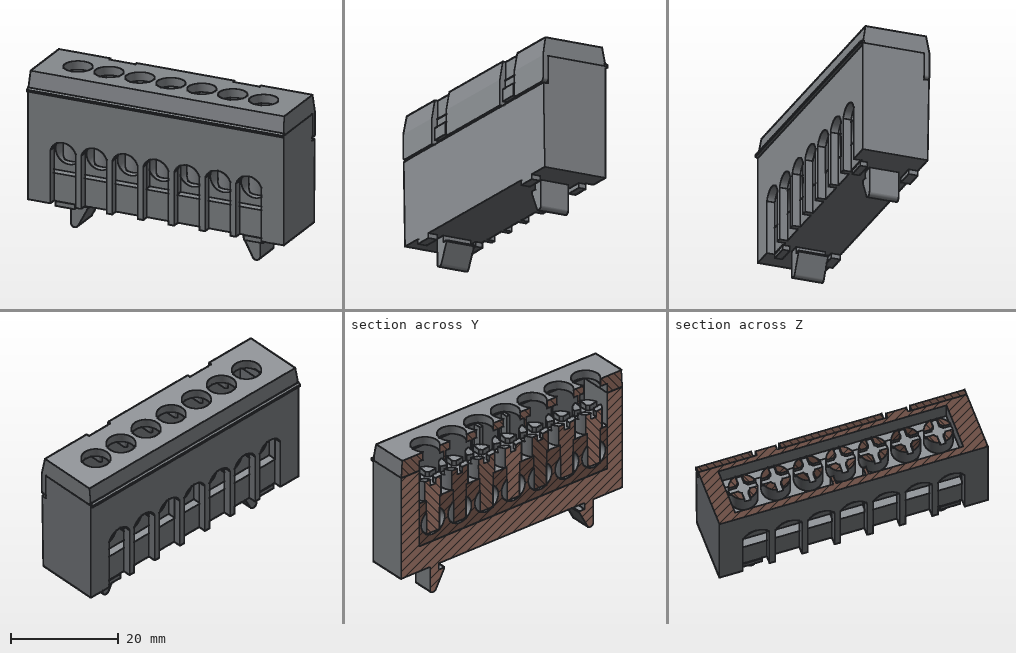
import cadquery as cq

LENGTH = 52.9
CELLS = 7
PITCH = 6.4

BODY_HEIGHT = 21.95
BODY_DEPTH_BOTTOM = 13.0
BODY_DEPTH_TOP = 13.3
FRONT_WALL = 1.6
BACK_WALL = 1.15
SHELF_Z = 5.55

WIRE_BORE_D = 5.5
WIRE_AXIS_Z = 9.85
SLOT_WIDTH = 5.25

LID_DEPTH = 13.4
LID_HEIGHT = 3.65
LID_TOP = BODY_HEIGHT + LID_HEIGHT
LID_TOP_INSET_X = 0.2
LID_TOP_INSET_Y = 0.65
LID_ROOF = 1.75
FLAP_THICKNESS = 1.1
FLAP_LENGTH = 5.1
FLAP_CORNER = 0.65
FLAP_GAP = 0.3
NOTCH_WIDTH = 5.45
NOTCH_DEPTH = 1.25
NOTCH_X = 12.85
ACCESS_D = 5.5
ACCESS_Y = 6.4

RIB_THICKNESS = 0.75
RIB_NOSE_Y = 8.2
PARTITION = 0.7

LIP_REACH = 0.5
LIP_FLAT_ABOVE = 0.2
LIP_FLAT_BELOW = 0.15
LIP_ROOT_ABOVE = 0.5
LIP_ROOT_BELOW = 0.35
LIP_EMBED = 0.25

CATCH_WIDTH = 4.05
CATCH_BOTTOM = 17.45
CATCH_BACK_Z = 19.85
CATCH_ROOT_Z = 20.2
CATCH_Y = 13.15

BAR_OFFSET_X = -0.35
BAR_HALF_DEPTH = 3.1
BAR_BORE_Z = 9.8
BAR_TOP = 14.8

SHANK_D = 4.85
SHANK_END_Z = 7.4
HEAD_D = 5.5
HEAD_TOP = 19.05
DISH_DEPTH = 0.3
CROSS_WIDTH = 1.15
CROSS_CENTRE_D = 2.55
CROSS_DEPTH = 1.3

PAD_HEIGHT = 0.95
PAD_OUTER_X = 21.5
PAD_INNER_X = 17.5
FRONT_PAD_Y = (1.45, 2.9)
BACK_PAD_Y = (11.15, BODY_DEPTH_BOTTOM)

LEG_Y = (4.05, 9.95)
LEG_OUTER_X = 19.55
LEG_SHOULDER_X = 17.35
LEG_TIP_X = 16.1
LEG_SHOULDER_Z = -1.25
LEG_TIP_Z = -1.55
LEG_TOE_X = 18.05
LEG_TOE_Z = -5.25
LEG_ROUND_Z = -5.0
LEG_BOTTOM = -5.7

FULL_X = (-LENGTH / 2, LENGTH / 2)
CELL_X = [(i - (CELLS - 1) / 2) * PITCH for i in range(CELLS)]
SCREW_POINTS = [(x + BAR_OFFSET_X, ACCESS_Y) for x in CELL_X]
CAVITY_X = (SCREW_POINTS[0][0] - PITCH / 2, SCREW_POINTS[-1][0] + PITCH / 2)
BAR_Y = (ACCESS_Y - BAR_HALF_DEPTH, ACCESS_Y + BAR_HALF_DEPTH)
FLAP_Y = LID_DEPTH - FLAP_THICKNESS
FLAP_BOTTOM = BODY_HEIGHT - FLAP_LENGTH
CAVITY_BACK_Y = FLAP_Y - BACK_WALL


def block(x, y, z):
    """Box given by its (low, high) limits along each axis."""
    size = [high - low for low, high in (x, y, z)]
    return cq.Workplane("XY").box(*size, centered=False).translate((x[0], y[0], z[0]))


def centred(x, width):
    """Limits of a span of the given width about x."""
    return (x - width / 2, x + width / 2)


def side_profile(points, x):
    """Closed outline of (Y, Z) points extruded between two X limits."""
    return cq.Workplane("YZ", origin=(x[0], 0, 0)).polyline(points).close().extrude(x[1] - x[0])


def lip_half(flat, root):
    """Upper (positive sizes) or lower (negative sizes) half of the lip on the parting line."""
    return side_profile(
        [
            (LIP_EMBED, BODY_HEIGHT),
            (-LIP_REACH, BODY_HEIGHT),
            (-LIP_REACH, BODY_HEIGHT + flat),
            (0, BODY_HEIGHT + root),
            (LIP_EMBED, BODY_HEIGHT + root),
        ],
        FULL_X,
    )


def wire_slot(x):
    """Round-topped slot through the front wall, open at the underside."""
    bore = (
        cq.Workplane("XZ")
        .center(x, WIRE_AXIS_Z)
        .circle(WIRE_BORE_D / 2)
        .extrude(-FRONT_WALL)
        .intersect(block(centred(x, SLOT_WIDTH), (0, FRONT_WALL), (WIRE_AXIS_Z, BODY_HEIGHT)))
    )
    return bore.union(block(centred(x, SLOT_WIDTH), (0, FRONT_WALL), (0, WIRE_AXIS_Z)))


def catch(x):
    """Snap catch on the back of the body, with a sloped top."""
    return side_profile(
        [
            (FLAP_Y, CATCH_BOTTOM),
            (CATCH_Y, CATCH_BOTTOM),
            (CATCH_Y, CATCH_BACK_Z),
            (FLAP_Y, CATCH_ROOT_Z),
        ],
        centred(x, CATCH_WIDTH),
    )


def left_foot():
    """Two pads and a barbed snap leg under the left end."""
    pad_x = (-PAD_OUTER_X, -PAD_INNER_X)
    foot = (
        cq.Workplane("XZ", origin=(0, LEG_Y[0], 0))
        .moveTo(-LEG_OUTER_X, 0)
        .lineTo(-LEG_SHOULDER_X, 0)
        .lineTo(-LEG_SHOULDER_X, LEG_SHOULDER_Z)
        .lineTo(-LEG_TIP_X, LEG_SHOULDER_Z)
        .lineTo(-LEG_TIP_X, LEG_TIP_Z)
        .lineTo(-LEG_TOE_X, LEG_TOE_Z)
        .threePointArc((-(LEG_OUTER_X + LEG_TOE_X) / 2, LEG_BOTTOM), (-LEG_OUTER_X, LEG_ROUND_Z))
        .close()
        .extrude(LEG_Y[0] - LEG_Y[1])
    )
    for pad_y in (FRONT_PAD_Y, BACK_PAD_Y):
        foot = foot.union(block(pad_x, pad_y, (-PAD_HEIGHT, 0)))
    return foot


def make_body():
    step_z = FLAP_BOTTOM - FLAP_GAP
    body = side_profile(
        [
            (0, 0),
            (0, BODY_HEIGHT),
            (FLAP_Y, BODY_HEIGHT),
            (FLAP_Y, step_z),
            (BODY_DEPTH_TOP, step_z),
            (BODY_DEPTH_BOTTOM, 0),
        ],
        FULL_X,
    )
    body = body.union(lip_half(-LIP_FLAT_BELOW, -LIP_ROOT_BELOW))
    body = body.cut(block(CAVITY_X, (FRONT_WALL, BAR_Y[1]), (SHELF_Z, BODY_HEIGHT)))
    body = body.cut(block(CAVITY_X, (FRONT_WALL, CAVITY_BACK_Y), (BAR_TOP, BODY_HEIGHT)))
    for x in (-PITCH / 2, PITCH / 2):
        body = body.union(block(centred(x, PARTITION), (FRONT_WALL, BAR_Y[0]), (SHELF_Z, BODY_HEIGHT)))
    for x in CELL_X:
        body = body.cut(wire_slot(x))
    for x in (-NOTCH_X, NOTCH_X):
        body = body.union(catch(x))
    foot = left_foot()
    return body.union(foot).union(foot.mirror("YZ"))


def lid_rib(x):
    """Rib hanging from the lid roof to the parting plane, with a rounded nose."""
    height = LID_HEIGHT - LID_ROOF
    nose_y = RIB_NOSE_Y + RIB_THICKNESS / 2
    nose = cq.Workplane("XY").center(x, nose_y).circle(RIB_THICKNESS / 2).extrude(height)
    web = block(centred(x, RIB_THICKNESS), (nose_y, CAVITY_BACK_Y), (0, height))
    return nose.union(web).translate((0, 0, BODY_HEIGHT))


def make_lid():
    lid = (
        cq.Workplane("XY", origin=(0, LID_DEPTH / 2, BODY_HEIGHT))
        .rect(LENGTH, LID_DEPTH)
        .workplane(offset=LID_HEIGHT)
        .rect(LENGTH - 2 * LID_TOP_INSET_X, LID_DEPTH - 2 * LID_TOP_INSET_Y)
        .loft(ruled=True)
    )
    lid = lid.union(lip_half(LIP_FLAT_ABOVE, LIP_ROOT_ABOVE))
    flap = block(FULL_X, (FLAP_Y, LID_DEPTH), (FLAP_BOTTOM, BODY_HEIGHT))
    lid = lid.union(flap.edges("|Y and <Z").fillet(FLAP_CORNER))
    lid = lid.cut(block(CAVITY_X, (FRONT_WALL, CAVITY_BACK_Y), (BODY_HEIGHT, LID_TOP - LID_ROOF)))
    for left_x in CELL_X[:-1]:
        lid = lid.union(lid_rib(left_x + PITCH / 2))
    for x in (-NOTCH_X, NOTCH_X):
        notch_y = (LID_DEPTH - NOTCH_DEPTH, LID_DEPTH)
        lid = lid.cut(block(centred(x, NOTCH_WIDTH), notch_y, (FLAP_BOTTOM, LID_TOP)))
    access = (
        cq.Workplane("XY", origin=(0, 0, LID_TOP - LID_ROOF))
        .pushPoints([(x, ACCESS_Y) for x in CELL_X])
        .circle(ACCESS_D / 2)
        .extrude(LID_ROOF)
    )
    return lid.cut(access)


def make_bar():
    bar = block(CAVITY_X, BAR_Y, (SHELF_Z, BAR_TOP))
    wire_bores = (
        cq.Workplane("XZ", origin=(0, BAR_Y[0], 0))
        .pushPoints([(x, BAR_BORE_Z) for x, _ in SCREW_POINTS])
        .circle(WIRE_BORE_D / 2)
        .extrude(BAR_Y[0] - BAR_Y[1])
    )
    screw_holes = (
        cq.Workplane("XY", origin=(0, 0, SHANK_END_Z))
        .pushPoints(SCREW_POINTS)
        .circle(SHANK_D / 2)
        .extrude(BAR_TOP - SHANK_END_Z)
    )
    return bar.cut(wire_bores).cut(screw_holes)


def make_screw(x, y):
    def disc(z, diameter, height):
        return cq.Workplane("XY", origin=(x, y, z)).circle(diameter / 2).extrude(height)

    shank = disc(SHANK_END_Z, SHANK_D, BAR_TOP - SHANK_END_Z)
    head = disc(BAR_TOP, HEAD_D, HEAD_TOP - BAR_TOP)

    dish_radius = ((HEAD_D / 2) ** 2 + DISH_DEPTH**2) / (2 * DISH_DEPTH)
    dish = cq.Workplane("XY").sphere(dish_radius).translate((x, y, HEAD_TOP - DISH_DEPTH + dish_radius))

    cross_z = (HEAD_TOP - CROSS_DEPTH, HEAD_TOP)
    cross = disc(cross_z[0], CROSS_CENTRE_D, CROSS_DEPTH)
    cross = cross.union(block(centred(x, HEAD_D), centred(y, CROSS_WIDTH), cross_z))
    cross = cross.union(block(centred(x, CROSS_WIDTH), centred(y, HEAD_D), cross_z))
    return shank.union(head).cut(dish).cut(cross)


body = make_body()
lid = make_lid()
bar = make_bar()
screws = [make_screw(x, y) for x, y in SCREW_POINTS]

bodies = [body, lid, bar, *screws]
result = cq.Compound.makeCompound([part.solids().val() for part in bodies])